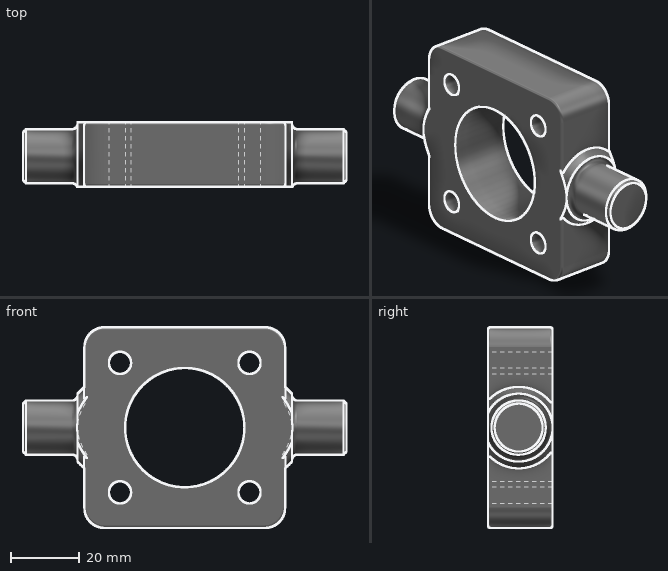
import cadquery as cq

overall_length = 95.0
block_side = 59.0
block_thickness = 19.0
corner_radius = 6.0
edge_rounding = 0.8

bore_diameter = 35.0
bolt_diameter = 6.5
bolt_spacing = 38.0

trunnion_radius = 8.0
trunnion_chamfer = 0.95
trunnion_offset_y = -0.5
root_fillet = 1.5
boss_radius = 10.0
boss_height = 2.0

half_length = overall_length / 2
block_half = block_side / 2
boss_face = block_half + boss_height
cone_start = block_half - edge_rounding
cone_base_radius = boss_radius + boss_face - cone_start


def make_block():
    block = cq.Workplane("XZ").rect(block_side, block_side).extrude(block_thickness / 2, both=True)
    return block.edges("|Y").fillet(corner_radius).faces("<Y or >Y").edges().fillet(edge_rounding)


def make_trunnion():
    """Pin on the +X side with a filleted root on a conical boss, revolved about its own axis."""
    arc_middle = root_fillet * (1 - 0.5 ** 0.5)
    pin = (
        cq.Workplane("XY")
        .moveTo(cone_start, 0)
        .lineTo(cone_start, cone_base_radius)
        .lineTo(boss_face, boss_radius)
        .lineTo(boss_face, trunnion_radius + root_fillet)
        .threePointArc(
            (boss_face + arc_middle, trunnion_radius + arc_middle),
            (boss_face + root_fillet, trunnion_radius),
        )
        .lineTo(half_length - trunnion_chamfer, trunnion_radius)
        .lineTo(half_length, trunnion_radius - trunnion_chamfer)
        .lineTo(half_length, 0)
        .close()
        .revolve(360, (0, 0, 0), (1, 0, 0))
        .translate((0, trunnion_offset_y, 0))
    )
    return pin.intersect(cq.Workplane("XY").box(overall_length, block_thickness, block_side))


def make_holes():
    start = cq.Workplane("XZ", origin=(0, block_thickness / 2, 0))
    bore = start.circle(bore_diameter / 2).extrude(block_thickness)
    bolts = (
        start.rarray(bolt_spacing, bolt_spacing, 2, 2)
        .circle(bolt_diameter / 2)
        .extrude(block_thickness)
    )
    return bore.union(bolts)


trunnion = make_trunnion()
result = make_block().union(trunnion).union(trunnion.mirror("YZ")).cut(make_holes())